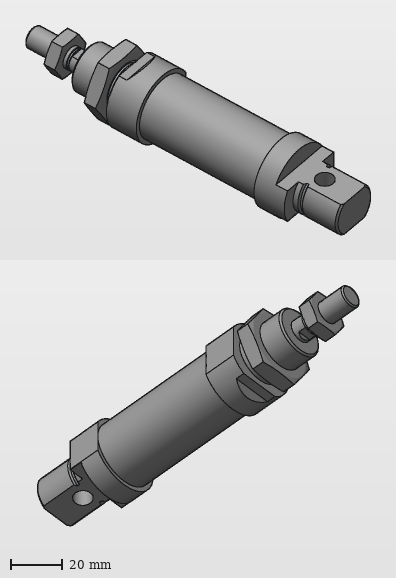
import cadquery as cq
import math


overall_length = 161.0
collar_x = 27.9
head_x = 50.0
tube_x = 65.0
rear_cap_x = 124.0
rear_step_x = 133.3
spigot_x = 139.1

rod_diameter = 10.0
rod_tip_chamfer = 0.6
rod_neck_diameter = 8.9
rod_neck_start = 20.8
rod_neck_end = 21.5
rod_neck_taper = 0.5
rod_flat_width = 8.0
rod_flat_start = rod_neck_end + rod_neck_taper
rod_flat_length = 3.5

rod_nut_x = 13.2
rod_nut_thickness = 6.0
rod_nut_flats = 17.0
rod_nut_face_diameter = 16.7
rod_nut_chamfer = 0.3
mount_nut_x = 39.0
mount_nut_thickness = 7.0
mount_nut_flats = 30.0
mount_nut_face_diameter = 29.3
mount_nut_chamfer = 0.6

tube_diameter = 29.0
cap_diameter = 33.0
cap_flat_y = tube_diameter / 2
thread_diameter = 22.0
thread_chamfer = 0.8
head_flat_z = 14.0
head_flat_length = 4.0
lug_thickness = 16.1
lug_hole_diameter = 8.0
lug_hole_x = 146.2

groove_diameter = 20.3
groove_depth = (thread_diameter - groove_diameter) / 2
groove_flank = 0.6
groove_width = 2.3
head_groove_x = 45.0
rear_groove_x = 141.5


def cylinder_x(x_start, x_end, diameter):
    """Solid cylinder on the X axis between two positions."""
    return cq.Workplane("YZ", origin=(x_start, 0, 0)).circle(diameter / 2).extrude(x_end - x_start)


def revolve_x(profile):
    """Solid of revolution about the X axis from (x, radius) points."""
    return cq.Workplane("XY").polyline(profile).close().revolve(360, (0, 0, 0), (1, 0, 0))


def relief_groove(x_start):
    """Ring that cuts a trapezoidal relief groove into a thread diameter."""
    bottom = groove_diameter / 2
    top = bottom + groove_depth
    x_end = x_start + groove_width
    profile = [
        (x_start, top),
        (x_start + groove_flank, bottom),
        (x_end - groove_flank, bottom),
        (x_end, top),
    ]
    return revolve_x(profile)


def ramped_flats(x_start, x_flat_end, flat_z, outer_radius):
    """Cutters for two opposite flats, each running out at 45 degrees."""
    clear_z = 2 * outer_radius
    run_out = x_flat_end + clear_z - flat_z
    upper = (
        cq.Workplane("XZ")
        .polyline([
            (x_start, flat_z),
            (x_flat_end, flat_z),
            (run_out, clear_z),
            (x_start, clear_z),
        ])
        .close()
        .extrude(outer_radius, both=True)
    )
    return upper.union(upper.mirror("XY"))


def make_cap(x_start, x_end):
    """Round cap body with one side flattened level with the tube."""
    cap = cylinder_x(x_start, x_end, cap_diameter)
    beyond_flat = (
        cq.Workplane("XY", origin=(x_start, cap_flat_y, 0))
        .box(x_end - x_start, cap_diameter, cap_diameter, centered=(False, False, True))
    )
    return cap.cut(beyond_flat)


def make_nut(x_start, thickness, flats, face_diameter, chamfer, bore):
    """Hexagon nut with corners on +/-Y and conical chamfers on both faces."""
    corner_diameter = flats / math.cos(math.pi / 6)
    x_end = x_start + thickness
    hexagon = cq.Workplane("YZ", origin=(x_start, 0, 0)).polygon(6, corner_diameter).extrude(thickness)
    corner_cone = revolve_x([
        (x_start, 0),
        (x_start, face_diameter / 2),
        (x_start + chamfer, corner_diameter / 2),
        (x_end - chamfer, corner_diameter / 2),
        (x_end, face_diameter / 2),
        (x_end, 0),
    ])
    return hexagon.intersect(corner_cone).cut(cylinder_x(x_start, x_end, bore))


def make_rod():
    """Rod from its chamfered tip to the tube, with a neck and spanner flats."""
    radius = rod_diameter / 2
    neck_radius = rod_neck_diameter / 2
    rod = revolve_x([
        (0, 0),
        (0, radius - rod_tip_chamfer),
        (rod_tip_chamfer, radius),
        (rod_neck_start, radius),
        (rod_neck_start, neck_radius),
        (rod_neck_end, neck_radius),
        (rod_neck_end + rod_neck_taper, radius),
        (tube_x, radius),
        (tube_x, 0),
    ])
    flat_end = rod_flat_start + rod_flat_length
    return rod.cut(ramped_flats(rod_flat_start, flat_end, rod_flat_width / 2, radius))


def make_head():
    """Front cap with a threaded collar, relief groove, spanner flats and rod bore."""
    collar = cylinder_x(collar_x, head_x, thread_diameter).faces("<X").chamfer(thread_chamfer)
    collar = collar.cut(relief_groove(head_groove_x))
    flats = ramped_flats(head_x, head_x + head_flat_length, head_flat_z, cap_diameter / 2)
    head = make_cap(head_x, tube_x).cut(flats).union(collar)
    return head.cut(cylinder_x(collar_x, tube_x, rod_diameter))


def make_rear_cap():
    """Rear cap with a flat-sided lug, relief groove and cross hole."""
    spigot = cylinder_x(spigot_x, overall_length, thread_diameter).faces(">X").chamfer(thread_chamfer)
    spigot = spigot.cut(relief_groove(rear_groove_x))
    rear_cap = make_cap(rear_cap_x, spigot_x).union(spigot)
    side_height = (cap_diameter - lug_thickness) / 2
    for side in (-1, 1):
        side_z = side * (lug_thickness + side_height) / 2
        side_cut = (
            cq.Workplane("XY", origin=(rear_step_x, 0, side_z))
            .box(overall_length - rear_step_x, cap_diameter, side_height, centered=(False, True, True))
        )
        rear_cap = rear_cap.cut(side_cut)
    hole = (
        cq.Workplane("XY", origin=(lug_hole_x, 0, 0))
        .circle(lug_hole_diameter / 2)
        .extrude(lug_thickness, both=True)
    )
    return rear_cap.cut(hole)


rod = make_rod()
rod_nut = make_nut(
    rod_nut_x, rod_nut_thickness, rod_nut_flats, rod_nut_face_diameter, rod_nut_chamfer, rod_diameter
)
head = make_head()
mount_nut = make_nut(
    mount_nut_x, mount_nut_thickness, mount_nut_flats, mount_nut_face_diameter, mount_nut_chamfer,
    thread_diameter,
)
tube = cylinder_x(tube_x, rear_cap_x, tube_diameter)
rear_cap = make_rear_cap()

bodies = [rod, rod_nut, head, mount_nut, tube, rear_cap]
result = cq.Compound.makeCompound([body.solids().val() for body in bodies])